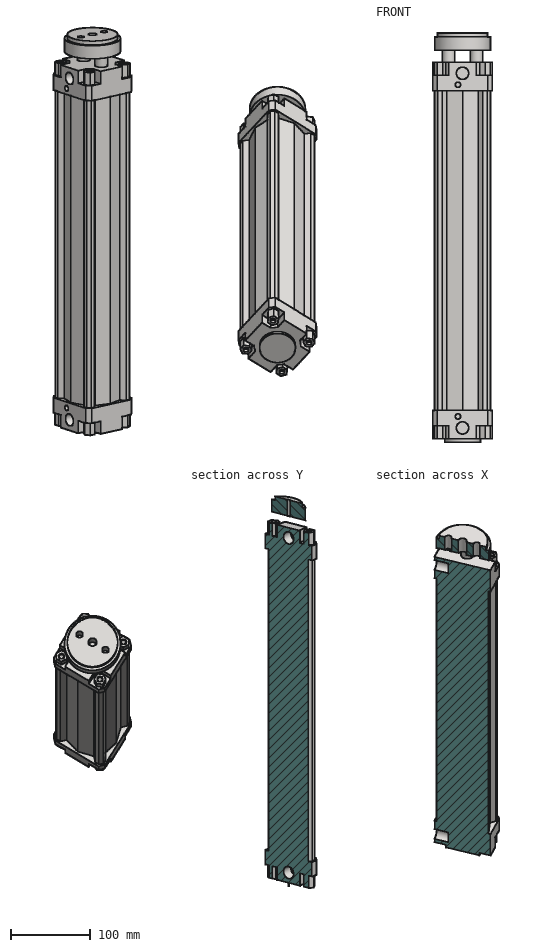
import cadquery as cq
import math

TOTAL_HEIGHT = 512.0
BOSS_HEIGHT = 4.0
CAP_HEIGHT = 36.0
ROD_LENGTH = 15.0
DISC_HEIGHT = 22.0
DISC_STEP_HEIGHT = 5.0

BOTTOM_CAP_BASE = BOSS_HEIGHT
DISC_BASE = TOTAL_HEIGHT - DISC_HEIGHT
TOP_CAP_TOP = DISC_BASE - ROD_LENGTH
BARREL_BASE = BOTTOM_CAP_BASE + CAP_HEIGHT
BARREL_TOP = TOP_CAP_TOP - CAP_HEIGHT

CAP_WIDTH = 75.0
CAP_CHAMFER = 5.5
BOSS_DIAMETER = 45.0
NOTCH_DEPTH = 16.5
NOTCH_START = 17.5
NOTCH_INNER_CHAMFER = 6.0

NUT_OFFSET = 28.0
NUT_ACROSS_FLATS = 13.0
NUT_HOLE_DIAMETER = 6.5
NUT_HOLE_DEPTH = 5.0
NUT_HOLE_CONE_HEIGHT = 2.0

PORT_DIAMETER = 15.5
PORT_DEPTH = 18.0
PORT_FROM_CAP_END = 14.0
SCREW_HOLE_DIAMETER = 6.5
SCREW_HOLE_DEPTH = 10.0
SCREW_HOLE_FROM_CAP_END = 28.0
SCREW_HOLE_X = -5.5

BARREL_WIDTH = 70.0
BARREL_CHAMFER = 4.0
GROOVE_HALF_WIDTH = 25.5
GROOVE_DEPTH = 5.5
RIDGE_ANGLE = 15.0

DISC_DIAMETER = 70.0
DISC_STEP_DIAMETER = 63.0
ROD_DIAMETER = 16.0
ROD_OFFSET = 17.5
CENTRE_HOLE_DIAMETER = 10.0
SIDE_HOLE_DIAMETER = 8.0
SIDE_HOLE_OFFSET = 19.0


def cylinder(diameter, height, base, x=0.0, y=0.0):
    """Upright cylinder standing on the height `base`."""
    return cq.Workplane("XY", origin=(x, y, base)).circle(diameter / 2).extrude(height)


def front_hole(diameter, depth, x, z):
    """Cutter for a blind hole running inward from the front face of a cap."""
    front = cq.Workplane("XZ", origin=(x, -CAP_WIDTH / 2, z))
    return front.circle(diameter / 2).extrude(-depth)


def corner_notch():
    """Cutter for the front-left corner notch at the outer end of a cap."""
    size = CAP_WIDTH / 2 - NOTCH_START
    middle = -(CAP_WIDTH / 2 + NOTCH_START) / 2
    block = cq.Workplane("XY", origin=(middle, middle, CAP_HEIGHT - NOTCH_DEPTH))
    block = block.rect(size, size).extrude(NOTCH_DEPTH)
    return block.edges("|Z and >X and >Y").chamfer(NOTCH_INNER_CHAMFER)


def corner_nut():
    """Nut in the front-left notch, with a cone-bottomed hole in its end."""
    across_corners = NUT_ACROSS_FLATS / math.cos(math.pi / 6)
    nut = cq.Workplane("XY", origin=(-NUT_OFFSET, -NUT_OFFSET, CAP_HEIGHT - NOTCH_DEPTH))
    nut = nut.polygon(6, across_corners).extrude(NOTCH_DEPTH)
    radius = NUT_HOLE_DIAMETER / 2
    hole = (
        cq.Workplane("XZ")
        .polyline([
            (0, 0),
            (radius, 0),
            (radius, -NUT_HOLE_DEPTH),
            (0, -NUT_HOLE_DEPTH - NUT_HOLE_CONE_HEIGHT),
        ])
        .close()
        .revolve(360, (0, 0), (0, 1))
        .translate((-NUT_OFFSET, -NUT_OFFSET, CAP_HEIGHT))
    )
    return nut.cut(hole)


def make_cap():
    """Cap standing on Z = 0 with its outer, notched end upward."""
    cap = cq.Workplane("XY").rect(CAP_WIDTH, CAP_WIDTH).extrude(CAP_HEIGHT)
    cap = cap.edges("|Z").chamfer(CAP_CHAMFER)
    notch = corner_notch()
    nut = corner_nut()
    for quarter in range(4):
        angle = 90 * quarter
        cap = cap.cut(notch.rotate((0, 0, 0), (0, 0, 1), angle))
        cap = cap.union(nut.rotate((0, 0, 0), (0, 0, 1), angle))
    cap = cap.cut(front_hole(PORT_DIAMETER, PORT_DEPTH, 0, CAP_HEIGHT - PORT_FROM_CAP_END))
    screw_hole_z = CAP_HEIGHT - SCREW_HOLE_FROM_CAP_END
    return cap.cut(front_hole(SCREW_HOLE_DIAMETER, SCREW_HOLE_DEPTH, SCREW_HOLE_X, screw_hole_z))


def side_groove():
    """Cutter for the full-length groove in the front side of the barrel."""
    side_y = -BARREL_WIDTH / 2
    floor_y = side_y + GROOVE_DEPTH
    floor_half_width = GROOVE_HALF_WIDTH - GROOVE_DEPTH
    ridge_y = floor_y - floor_half_width * math.tan(math.radians(RIDGE_ANGLE))
    outline = [
        (-GROOVE_HALF_WIDTH, side_y),
        (-floor_half_width, floor_y),
        (0, ridge_y),
        (floor_half_width, floor_y),
        (GROOVE_HALF_WIDTH, side_y),
    ]
    groove = cq.Workplane("XY", origin=(0, 0, BARREL_BASE)).polyline(outline).close()
    return groove.extrude(BARREL_TOP - BARREL_BASE)


def make_barrel():
    """Square barrel with chamfered corners and a ridged groove along each side."""
    barrel = cq.Workplane("XY", origin=(0, 0, BARREL_BASE)).rect(BARREL_WIDTH, BARREL_WIDTH)
    barrel = barrel.extrude(BARREL_TOP - BARREL_BASE).edges("|Z").chamfer(BARREL_CHAMFER)
    groove = side_groove()
    for quarter in range(4):
        barrel = barrel.cut(groove.rotate((0, 0, 0), (0, 0, 1), 90 * quarter))
    return barrel


def make_housing():
    """Barrel with a cap on each end and a round boss under the bottom cap."""
    cap = make_cap()
    top_cap = cap.translate((0, 0, BARREL_TOP))
    bottom_cap = cap.mirror("XY").translate((0, 0, BARREL_BASE))
    boss = cylinder(BOSS_DIAMETER, BOSS_HEIGHT, 0)
    return make_barrel().union(top_cap).union(bottom_cap).union(boss)


def make_carriage():
    """Stepped disc with three holes, on two rods that stand on the top cap."""
    carriage = cylinder(DISC_DIAMETER, DISC_HEIGHT - DISC_STEP_HEIGHT, DISC_BASE)
    step_base = TOTAL_HEIGHT - DISC_STEP_HEIGHT
    carriage = carriage.union(cylinder(DISC_STEP_DIAMETER, DISC_STEP_HEIGHT, step_base))
    carriage = carriage.cut(cylinder(CENTRE_HOLE_DIAMETER, DISC_HEIGHT, DISC_BASE))
    for side in (-1, 1):
        hole_y = side * SIDE_HOLE_OFFSET
        rod_x = side * ROD_OFFSET
        carriage = carriage.cut(cylinder(SIDE_HOLE_DIAMETER, DISC_HEIGHT, DISC_BASE, y=hole_y))
        carriage = carriage.union(cylinder(ROD_DIAMETER, ROD_LENGTH, TOP_CAP_TOP, x=rod_x))
    return carriage


housing = make_housing()
carriage = make_carriage()

result = cq.Compound.makeCompound([housing.val(), carriage.val()])